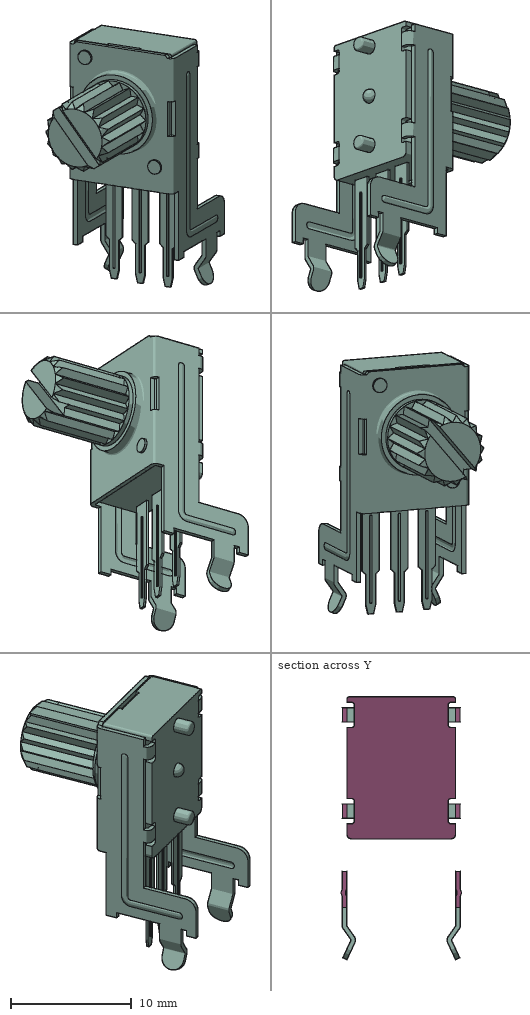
import cadquery as cq
import math


SHEET = 0.4
INNER_BEND = 0.1
OUTER_BEND = INNER_BEND + SHEET
HALF_WIDTH = 4.9
FRAME_TOP = 5.5
CORNER_CHAMFER = 0.25
SIDE_TOP = FRAME_TOP - CORNER_CHAMFER
PLATE_BOTTOM = -6.5
WINDOW_LENGTH = 3.0

SIDE_FRONT = 1.0
SIDE_REAR = 4.5
FOOT_REAR = 9.4
ARM_TOP = -8.95
ARM_RADIUS = 1.0
ARM_BOTTOM = -12.0
FOOT_BOTTOM = -12.5
REAR_FOOT_LENGTH = 0.9
FRONT_FOOT_LENGTH = 1.0

RIB_Y = 2.75
RIB_Z = -10.75
RIB_HALF_WIDTH = 0.3
RIB_HEIGHT = 0.098
RIB_BEND = 0.57
RIB_TOP_CENTER = 3.12
RIB_REAR_CENTER = 7.83

LEG_WIDTH = 2.0
LEG_Y = 7.0
LEG_BEND_Z = -13.45
LEG_IN_ANGLE = 35
LEG_IN_LENGTH = 1.07
LEG_OUT_ANGLE = 25
LEG_OUT_LENGTH = 1.57

TAB_HEIGHTS = (-4.0, 4.0)
TAB_WIDTH = 1.2
TAB_REACH = 1.0
RECESS_WIDTH = 2.07
RECESS_FILLET = 0.2

BUSHING_DIAMETER = 6.8
BUSHING_LENGTH = 0.8
BUSHING_FILLET = 0.2

CASE_HALF_WIDTH = HALF_WIDTH - SHEET
CASE_FRONT = OUTER_BEND
CASE_REAR = 5.1
CASE_BOTTOM = -6.3
CASE_TOP_RADIUS = 0.2
CASE_BOTTOM_RADIUS = 0.41
NOTCH_DEPTH = 0.3
PEG_DIAMETER = 1.2
PEG_Z = 4.3
FRONT_PEG_X = 3.25
FRONT_PEG_HEIGHT = 0.2
REAR_PEG_LENGTH = 1.4
PEG_FILLET = 0.2

SHAFT_DIAMETER = 6.0
KNURL_START = -1.2
SHAFT_TIP = -8.2
TOOTH_COUNT = 18
TOOTH_DEPTH = 0.5
SLOT_WIDTH = 1.05
SLOT_DEPTH = 1.5
SLOT_ANGLE = 130

TERMINAL_PITCH = 2.5
TERMINAL_POSITIONS = [i * TERMINAL_PITCH for i in (-1, 0, 1)]
TERMINAL_FRONT = 3.7
TERMINAL_STAGGER = 0.13
TERMINAL_THICKNESS = 0.2
TERMINAL_INSERTION = 1.0
BLADE_WIDTH = 1.5
PIN_WIDTH = 0.85
POINT_WIDTH = 0.48
SHOULDER_TOP = -12.2
SHOULDER_BOTTOM = -12.51
POINT_TOP = -15.1
TERMINAL_TIP = -15.87
BEAD_WIDTH = 0.2
BEAD_HEIGHT = 0.07
BEAD_TOP = -7.5
BEAD_BOTTOM = -14.98


def box(x_range, y_range, z_range):
    """Box between two limits along each axis."""
    limits = (x_range, y_range, z_range)
    size = [high - low for low, high in limits]
    low_corner = tuple(low for low, high in limits)
    return cq.Workplane("XY").box(*size, centered=False).translate(low_corner)


def cylinder_y(diameter, y_front, y_rear, x=0.0, z=0.0):
    """Cylinder along Y between two depths."""
    plane = cq.Workplane("XZ", origin=(x, y_rear, z))
    return plane.circle(diameter / 2).extrude(y_rear - y_front)


def cylinder_x(diameter, x_left, x_right, y, z):
    """Cylinder along X between two positions."""
    return cq.Workplane("YZ", origin=(x_left, y, z)).circle(diameter / 2).extrude(x_right - x_left)


def arc_point(center, radius, angle):
    """Point at the given radius and angle, in degrees, about a center."""
    turn = math.radians(angle)
    return (center[0] + radius * math.cos(turn), center[1] + radius * math.sin(turn))


def front_plate():
    """Front plate with chamfered upper corners and the quarter bends to both side plates."""
    flat_half = HALF_WIDTH - OUTER_BEND
    plate = box((-flat_half, flat_half), (0, SHEET), (PLATE_BOTTOM, FRAME_TOP))
    plate = plate.edges("|Y and >Z").chamfer(CORNER_CHAMFER)
    center = (-flat_half, OUTER_BEND)
    bend = (
        cq.Workplane("XY", origin=(0, 0, PLATE_BOTTOM))
        .moveTo(-flat_half, 0)
        .threePointArc(arc_point(center, OUTER_BEND, 225), (-HALF_WIDTH, OUTER_BEND))
        .lineTo(-CASE_HALF_WIDTH, OUTER_BEND)
        .threePointArc(arc_point(center, INNER_BEND, 225), (-flat_half, SHEET))
        .close()
        .extrude(SIDE_TOP - PLATE_BOTTOM)
    )
    half_window = WINDOW_LENGTH / 2
    bend = bend.cut(box((-HALF_WIDTH, -flat_half), (0, OUTER_BEND), (-half_window, half_window)))
    return plate.union(bend).union(bend.mirror("YZ"))


def side_sheet():
    """Flat outline of the left side plate with its foot and rearward arm."""
    return (
        cq.Workplane("YZ", origin=(-HALF_WIDTH, 0, 0))
        .moveTo(OUTER_BEND, SIDE_TOP)
        .lineTo(SIDE_REAR, SIDE_TOP)
        .lineTo(SIDE_REAR, ARM_TOP)
        .lineTo(FOOT_REAR - ARM_RADIUS, ARM_TOP)
        .radiusArc((FOOT_REAR, ARM_TOP - ARM_RADIUS), ARM_RADIUS)
        .lineTo(FOOT_REAR, FOOT_BOTTOM)
        .lineTo(FOOT_REAR - REAR_FOOT_LENGTH, FOOT_BOTTOM)
        .lineTo(FOOT_REAR - REAR_FOOT_LENGTH, ARM_BOTTOM)
        .lineTo(SIDE_FRONT + FRONT_FOOT_LENGTH, ARM_BOTTOM)
        .lineTo(SIDE_FRONT + FRONT_FOOT_LENGTH, FOOT_BOTTOM)
        .lineTo(SIDE_FRONT, FOOT_BOTTOM)
        .lineTo(SIDE_FRONT, PLATE_BOTTOM)
        .lineTo(OUTER_BEND, PLATE_BOTTOM)
        .close()
        .extrude(SHEET)
    )


def rib():
    """Low L-shaped bead with domed ends on the outer face of the left side plate."""
    face = -HALF_WIDTH
    crest = face - RIB_HEIGHT
    round_radius = (RIB_HALF_WIDTH**2 + RIB_HEIGHT**2) / (2 * RIB_HEIGHT)
    path = (
        cq.Workplane("YZ", origin=(face, 0, 0))
        .moveTo(RIB_Y, RIB_TOP_CENTER)
        .lineTo(RIB_Y, RIB_Z + RIB_BEND)
        .radiusArc((RIB_Y + RIB_BEND, RIB_Z), -RIB_BEND)
        .lineTo(RIB_REAR_CENTER, RIB_Z)
    )
    bead = (
        cq.Workplane("XY", origin=(0, 0, RIB_TOP_CENTER))
        .moveTo(face, RIB_Y - RIB_HALF_WIDTH)
        .threePointArc((crest, RIB_Y), (face, RIB_Y + RIB_HALF_WIDTH))
        .close()
        .sweep(path)
    )
    for y, z in ((RIB_Y, RIB_TOP_CENTER), (RIB_REAR_CENTER, RIB_Z)):
        ball = cq.Workplane("XY").sphere(round_radius).translate((crest + round_radius, y, z))
        cap = ball.intersect(cylinder_x(RIB_HALF_WIDTH * 2, crest, face, y, z))
        bead = bead.union(cap)
    return bead


def snap_leg():
    """Left snap-in leg: it leans inward, then outward, and ends in a half-round tip."""
    lean_in = math.radians(LEG_IN_ANGLE)
    lean_out = math.radians(LEG_OUT_ANGLE)
    y_rear = LEG_Y + LEG_WIDTH / 2
    upper = (INNER_BEND - CASE_HALF_WIDTH, LEG_BEND_Z)
    upper_inner = arc_point(upper, INNER_BEND, 180 + LEG_IN_ANGLE)
    upper_outer = arc_point(upper, OUTER_BEND, 180 + LEG_IN_ANGLE)
    run_x = LEG_IN_LENGTH * math.sin(lean_in)
    run_z = -LEG_IN_LENGTH * math.cos(lean_in)
    lower_start = (upper_outer[0] + run_x, upper_outer[1] + run_z)
    lower = arc_point(lower_start, -INNER_BEND, LEG_IN_ANGLE)
    tip_inner = arc_point(lower, OUTER_BEND, -LEG_OUT_ANGLE)
    tip_outer = arc_point(lower, INNER_BEND, -LEG_OUT_ANGLE)
    lower_middle = (LEG_IN_ANGLE - LEG_OUT_ANGLE) / 2
    upper_middle = 180 + LEG_IN_ANGLE / 2
    bent = (
        cq.Workplane("XZ", origin=(0, y_rear, 0))
        .moveTo(-CASE_HALF_WIDTH, ARM_BOTTOM)
        .lineTo(-CASE_HALF_WIDTH, LEG_BEND_Z)
        .threePointArc(arc_point(upper, INNER_BEND, upper_middle), upper_inner)
        .line(run_x, run_z)
        .threePointArc(arc_point(lower, OUTER_BEND, lower_middle), tip_inner)
        .lineTo(*tip_outer)
        .threePointArc(arc_point(lower, INNER_BEND, lower_middle), lower_start)
        .lineTo(*upper_outer)
        .threePointArc(arc_point(upper, OUTER_BEND, upper_middle), (-HALF_WIDTH, LEG_BEND_Z))
        .lineTo(-HALF_WIDTH, ARM_BOTTOM)
        .close()
        .extrude(LEG_WIDTH)
    )
    tip_plane = cq.Plane(
        origin=(tip_outer[0], LEG_Y, tip_outer[1]),
        xDir=(0, -1, 0),
        normal=(math.cos(lean_out), 0, -math.sin(lean_out)),
    )
    tip_straight = LEG_OUT_LENGTH - LEG_WIDTH / 2
    tip = (
        cq.Workplane(tip_plane)
        .moveTo(-LEG_WIDTH / 2, 0)
        .lineTo(-LEG_WIDTH / 2, tip_straight)
        .threePointArc((0, LEG_OUT_LENGTH), (LEG_WIDTH / 2, tip_straight))
        .lineTo(LEG_WIDTH / 2, 0)
        .close()
        .extrude(SHEET)
    )
    return bent.union(tip)


def clinch_tab(z):
    """Left tab folded over the rear face of the case at one height."""
    center = (-HALF_WIDTH + OUTER_BEND, CASE_REAR - OUTER_BEND)
    tab_end = -HALF_WIDTH + TAB_REACH
    return (
        cq.Workplane("XY", origin=(0, 0, z - TAB_WIDTH / 2))
        .moveTo(-HALF_WIDTH, SIDE_REAR)
        .lineTo(-HALF_WIDTH, center[1])
        .threePointArc(arc_point(center, OUTER_BEND, 135), (center[0], CASE_REAR))
        .lineTo(tab_end, CASE_REAR)
        .lineTo(tab_end, CASE_REAR - SHEET)
        .lineTo(center[0], CASE_REAR - SHEET)
        .threePointArc(arc_point(center, INNER_BEND, 135), (-CASE_HALF_WIDTH, center[1]))
        .lineTo(-CASE_HALF_WIDTH, SIDE_REAR)
        .close()
        .extrude(TAB_WIDTH)
    )


def front_peg_cylinder(sign, y_front, y_rear):
    """Cylinder on the axis of the lower right (sign 1) or upper left (sign -1) front peg."""
    return cylinder_y(PEG_DIAMETER, y_front, y_rear, sign * FRONT_PEG_X, -sign * PEG_Z)


def make_frame():
    """Bent sheet frame with the bushing and its openings for the shaft and the pegs."""
    side = side_sheet().union(rib()).cut(rib().translate((SHEET, 0, 0)))
    side = side.union(snap_leg())
    for z in TAB_HEIGHTS:
        side = side.union(clinch_tab(z))
    bushing = cylinder_y(BUSHING_DIAMETER, -BUSHING_LENGTH, SHEET)
    frame = front_plate().union(bushing)
    frame = frame.faces("<Y[-2]").edges("%CIRCLE").fillet(BUSHING_FILLET)
    frame = frame.union(side).union(side.mirror("YZ"))
    frame = frame.cut(cylinder_y(SHAFT_DIAMETER, -BUSHING_LENGTH, SHEET))
    for sign in (-1, 1):
        frame = frame.cut(front_peg_cylinder(sign, 0, SHEET))
    return frame


def clinch_recess(z):
    """Pocket with rounded floor edges in the left rear edge of the case for one tab."""
    floor = -HALF_WIDTH + TAB_REACH
    pocket = box(
        (-HALF_WIDTH, floor),
        (SIDE_REAR, CASE_REAR + RECESS_FILLET),
        (z - RECESS_WIDTH / 2, z + RECESS_WIDTH / 2),
    )
    return pocket.faces(">X").edges("|Y or <Y").fillet(RECESS_FILLET)


def terminal_front(x):
    """Depth of a terminal's front face: the middle one is staggered forward."""
    return TERMINAL_FRONT - TERMINAL_STAGGER if x == 0 else TERMINAL_FRONT


def terminal_blank(x):
    """Flat terminal strip with shoulders and a tapered point."""
    outline = (
        (BLADE_WIDTH / 2, CASE_BOTTOM + TERMINAL_INSERTION),
        (BLADE_WIDTH / 2, SHOULDER_TOP),
        (PIN_WIDTH / 2, SHOULDER_BOTTOM),
        (PIN_WIDTH / 2, POINT_TOP),
        (POINT_WIDTH / 2, TERMINAL_TIP),
    )
    mirrored = [(-half, z) for half, z in reversed(outline)]
    plane = cq.Workplane("XZ", origin=(x, terminal_front(x) + TERMINAL_THICKNESS, 0))
    return plane.polyline([*outline, *mirrored]).close().extrude(TERMINAL_THICKNESS)


def make_terminal(x):
    """Terminal with a narrow bead pressed from the front toward the rear."""
    bead_origin = (x, terminal_front(x) + BEAD_HEIGHT, (BEAD_TOP + BEAD_BOTTOM) / 2)
    bead = (
        cq.Workplane("XZ", origin=bead_origin)
        .slot2D(BEAD_TOP - BEAD_BOTTOM, BEAD_WIDTH, 90)
        .extrude(BEAD_HEIGHT)
    )
    return terminal_blank(x).cut(bead).union(bead.translate((0, TERMINAL_THICKNESS, 0)))


def make_case():
    """Case with locating pegs, rear button, clinch recesses and terminal sockets."""
    case = box((-CASE_HALF_WIDTH, CASE_HALF_WIDTH), (CASE_FRONT, CASE_REAR), (CASE_BOTTOM, FRAME_TOP))
    case = case.edges("|Y and >Z").fillet(CASE_TOP_RADIUS)
    case = case.edges("|Y and <Z").fillet(CASE_BOTTOM_RADIUS)
    case = case.cut(
        box(
            (-WINDOW_LENGTH / 2, WINDOW_LENGTH / 2),
            (CASE_FRONT, CASE_FRONT + NOTCH_DEPTH),
            (FRAME_TOP - NOTCH_DEPTH, FRAME_TOP),
        )
    )
    for z in TAB_HEIGHTS:
        recess = clinch_recess(z)
        case = case.cut(recess).cut(recess.mirror("YZ"))
    for sign in (-1, 1):
        front_peg = front_peg_cylinder(sign, -FRONT_PEG_HEIGHT, CASE_FRONT)
        rear_peg = cylinder_y(PEG_DIAMETER, CASE_REAR, CASE_REAR + REAR_PEG_LENGTH, 0, sign * PEG_Z)
        rear_peg = rear_peg.faces(">Y").edges().fillet(PEG_FILLET)
        case = case.union(front_peg).union(rear_peg)
    button = cq.Workplane("XY").sphere(PEG_DIAMETER / 2).translate((0, CASE_REAR, 0))
    case = case.union(button)
    for x in TERMINAL_POSITIONS:
        case = case.cut(terminal_blank(x))
    return case


def make_shaft():
    """Shaft with a plain collar, a knurled grip chamfered at the tip, and a screwdriver slot."""
    outer_radius = SHAFT_DIAMETER / 2
    collar = cylinder_y(SHAFT_DIAMETER, KNURL_START, CASE_FRONT)
    points = []
    for i in range(2 * TOOTH_COUNT):
        radius = outer_radius - TOOTH_DEPTH * (i % 2)
        turn = math.pi * i / TOOTH_COUNT
        points.append((radius * math.cos(turn), radius * math.sin(turn)))
    length = KNURL_START - SHAFT_TIP
    knurl = cq.Workplane("XZ", origin=(0, KNURL_START, 0)).polyline(points).close().extrude(length)
    envelope = cylinder_y(SHAFT_DIAMETER, SHAFT_TIP, KNURL_START).faces("<Y").chamfer(TOOTH_DEPTH)
    slot = box(
        (-outer_radius, outer_radius),
        (SHAFT_TIP, SHAFT_TIP + SLOT_DEPTH),
        (-SLOT_WIDTH / 2, SLOT_WIDTH / 2),
    )
    slot = slot.rotate((0, 0, 0), (0, 1, 0), -SLOT_ANGLE)
    return collar.union(knurl.intersect(envelope)).cut(slot)


frame = make_frame()
case = make_case()
shaft = make_shaft()
terminals = [make_terminal(x) for x in TERMINAL_POSITIONS]

result = cq.Compound.makeCompound([
    frame.solids().val(),
    case.solids().val(),
    shaft.solids().val(),
    *[terminal.solids().val() for terminal in terminals],
])